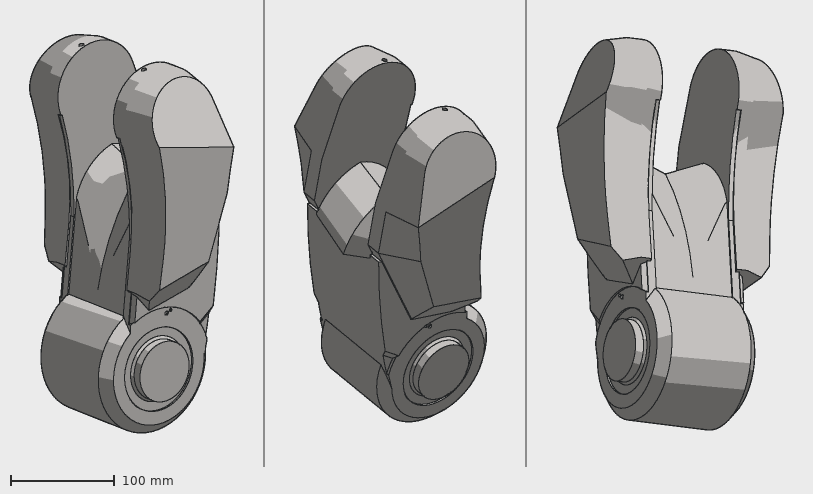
import cadquery as cq
import math


total_height = 374.0
drum_radius = 66.2
drum_half = 55.0
drum_chamfer = 10.5
seat_diameter = 84.0
seat_depth = 2.2
pin_diameter = 60.5
pin_base_diameter = 66.0
pin_half = 64.0

fork_inner = 43.0
lip_outer = 48.0
plate_outer = 60.0
overall_half = 99.5
pad_far = 101.0
head_y = 1.5
head_radius = 48.0
far_head_radius = 39.3
top_z = total_height - drum_radius
head_z = top_z - head_radius

crease_line = ((57.0, 225.5), (-33.5, 244.0))
upper_face_rise = 149.5
upper_face_x = plate_outer
lower_face_drop = 243.0
lower_face_x = 82.3

end_line = ((34.5, 76.0), (-14.0, 63.2))
end_run = 71.8
end_rise = 74.8

web_front_low = (-33.3, 52.5)
web_front_top = (-23.5, 150.5)
web_back_top = (73.3, 164.5)
web_back_mid = (70.3, 93.5)
web_back_low = (61.5, 26.5)
web_top = 209.5

neck_half = 52.0
cheek_half = 57.2
cheek_proud = 1.5
cheek_top = 134.5
cheek_chamfer_start = 50.0
cheek_chamfer_depth = 3.5
cheek_bevel_line = ((65.0, 51.5), (50.0, 39.5))
cheek_bevel_drop = 6.0
clearance_radius = 62.5

face_holes = [(9.7, 55.0, 4.0), (14.5, 57.2, 3.0)]
face_hole_depth = 2.0
head_hole_diameter = 5.0
head_hole_x = 48.2
head_hole_y = -13.0
head_hole_floor = 301.8

overcut = 3.7


def yz(x):
    """Workplane at the given x whose local axes are Y and Z."""
    return cq.Workplane("YZ", origin=(x, 0, 0))


def slab(outline, x_start, x_end):
    return outline(yz(x_start)).extrude(x_end - x_start)


def disc(diameter, x_start, x_end):
    return yz(x_start).circle(diameter / 2).extrude(x_end - x_start)


def both_sides(solid):
    return solid.union(solid.mirror("YZ"))


def prism(start, end, profile):
    """Long prism along the line between two (y, z) points, running toward -Y or +Z.

    Each profile point is (x, distance from the line), measured upward for lines toward -Y
    and toward +Y for lines that climb.
    """
    length = math.hypot(end[0] - start[0], end[1] - start[1])
    along_y = (end[0] - start[0]) / length
    along_z = (end[1] - start[1]) / length
    reach = total_height
    plane = cq.Plane(
        origin=(0, start[0] - reach / 2 * along_y, start[1] - reach / 2 * along_z),
        xDir=(1, 0, 0),
        normal=(0, along_y, along_z),
    )
    return cq.Workplane(plane).polyline(profile).close().extrude(reach)


def drum():
    return disc(2 * drum_radius, -drum_half, drum_half).edges().chamfer(drum_chamfer)


def pin_end():
    """One protruding pin end with its tapered foot standing in the seat."""
    seat_floor = drum_half - seat_depth
    foot = yz(seat_floor).circle(pin_base_diameter / 2)
    foot = foot.workplane(offset=seat_depth).circle(pin_diameter / 2).loft()
    return foot.union(disc(pin_diameter, seat_floor, pin_half))


def neck_back(sketch):
    """Close a neck outline down its curved back and into the drum."""
    return (
        sketch.lineTo(*web_back_top).threePointArc(web_back_mid, web_back_low)
        .lineTo(drum_radius - drum_chamfer, 0).close()
    )


def web_outline(plane):
    front = plane.moveTo(0, 0).lineTo(*web_front_low).lineTo(*web_front_top)
    return neck_back(front.lineTo(web_front_top[0], web_top).lineTo(web_back_top[0], web_top))


front_slope = (web_front_top[0] - web_front_low[0]) / (web_front_top[1] - web_front_low[1])
cheek_front_low = (web_front_low[0] - cheek_proud, web_front_low[1])
cheek_front_top = (cheek_front_low[0] + front_slope * (cheek_top - cheek_front_low[1]), cheek_top)


def cheek_outline(plane):
    front = plane.moveTo(0, 0).lineTo(cheek_front_low[0], 0)
    return neck_back(front.lineTo(*cheek_front_low).lineTo(*cheek_front_top))


def saddle_arch(plane, front, front_mid, ridge, back_mid, back):
    """Region above an arch that rises from the front to a ridge and falls to the back."""
    return (
        plane.moveTo(*front).threePointArc(front_mid, ridge).threePointArc(back_mid, back)
        .lineTo(back[0], head_z).lineTo(front[0], head_z).close()
    )


def web():
    """Half of the web, topped by a V-shaped saddle that is lowest in the middle."""
    saddle = saddle_arch(
        yz(0), (-32.0, 67.5), (-19.5, 116.3), (20.2, 184.0), (46.7, 172.0), (74.8, 133.0)
    )
    saddle = saddle_arch(
        saddle.workplane(offset=fork_inner),
        (-25.5, 144.7), (-3.7, 185.5), (20.2, 199.5), (46.7, 190.0), (74.8, 157.0),
    )
    return slab(web_outline, 0, fork_inner).cut(saddle.loft(ruled=True))


def cheek():
    """Raised neck side: bevelled below, cleared around the drum, chamfered along its front."""
    beyond = cheek_half + overcut
    below = -total_height
    bevel = [
        (cheek_half, 0),
        (neck_half, -cheek_bevel_drop),
        (neck_half, below),
        (beyond, below),
        (beyond, 0),
    ]
    front_chamfer = [
        (cheek_chamfer_start, 0),
        (cheek_half, cheek_chamfer_depth),
        (beyond, cheek_chamfer_depth),
        (beyond, -overcut),
        (cheek_chamfer_start, -overcut),
    ]
    return (
        slab(cheek_outline, fork_inner, cheek_half)
        .cut(prism(*cheek_bevel_line, bevel))
        .cut(disc(2 * clearance_radius, drum_half, beyond))
        .cut(prism(cheek_front_low, cheek_front_top, front_chamfer))
    )


def neck_side():
    """Thin neck plate with the raised cheek, and the drum face carried out to the clearance."""
    plate = slab(cheek_outline, fork_inner, neck_half)
    face = slab(cheek_outline, fork_inner, drum_half)
    face = face.intersect(disc(2 * clearance_radius, fork_inner, drum_half))
    return plate.union(cheek()).union(face)


def plate_outline(plane):
    """Outline of the fork plate, where the tapered pad starts."""
    return (
        plane.moveTo(-33.5, 85.5).lineTo(-29.0, 125.5).threePointArc((-30.3, 190.7), (-42.3, 241.0))
        .threePointArc((head_y, head_z + head_radius), (45.3, 279.5))
        .lineTo(66.5, 224.5).lineTo(75.5, 178.0).lineTo(*end_line[0]).lineTo(*end_line[1]).close()
    )


def far_outline(plane):
    """Matching smaller outline just beyond the widest point of the pad."""
    return (
        plane.moveTo(-25.0, 76.0).lineTo(-21.7, 125.5).threePointArc((-23.5, 190.7), (-34.0, 243.0))
        .threePointArc((head_y, head_z + far_head_radius), (37.5, 275.5))
        .lineTo(*crease_line[0]).lineTo(48.5, 179.5).lineTo(18.5, 82.3).lineTo(*end_line[1]).close()
    )


def lip_recess(plane):
    """Front strip removed where the inner lip sits behind the pad front."""
    clear_y = -head_radius
    low_z = 82.3
    high_z = 241.0
    return (
        plane.moveTo(-31.5, low_z).threePointArc((-26.5, 153.5), (-40.8, high_z))
        .lineTo(clear_y, high_z).lineTo(clear_y, low_z).close()
    )


def arm():
    """Fork plate with its tapered pad, trimmed by two flat outer faces and a sloped lower end."""
    pad = plate_outline(yz(plate_outer)).workplane(offset=pad_far - plate_outer)
    pad = far_outline(pad).loft(ruled=True)
    outer_faces = [
        (0, upper_face_rise),
        (upper_face_x, upper_face_rise),
        (overall_half, 0),
        (lower_face_x, -lower_face_drop),
        (0, -lower_face_drop),
    ]
    sloped_end = [
        (cheek_half, 0),
        (cheek_half + end_run, end_rise),
        (cheek_half + end_run, -end_rise),
        (cheek_half, -end_rise),
    ]
    return (
        slab(plate_outline, fork_inner, plate_outer).union(pad)
        .intersect(prism(*crease_line, outer_faces))
        .cut(prism(*end_line, sloped_end))
        .cut(slab(lip_recess, fork_inner, lip_outer))
    )


def side_cutouts():
    """Pin seat and small holes of one side."""
    beyond = drum_half + overcut
    cutter = disc(seat_diameter, drum_half - seat_depth, beyond)
    for y, z, diameter in face_holes:
        cutter = cutter.union(disc(diameter, drum_half - face_hole_depth, beyond).translate((0, y, z)))
    head_hole = cq.Workplane("XY", origin=(head_hole_x, head_hole_y, head_hole_floor))
    head_hole = head_hole.circle(head_hole_diameter / 2).extrude(top_z + overcut - head_hole_floor)
    return cutter.union(head_hole)


upper_half = web().union(neck_side()).union(arm())
body = drum().union(both_sides(upper_half)).cut(both_sides(side_cutouts()))
result = body.union(both_sides(pin_end()))